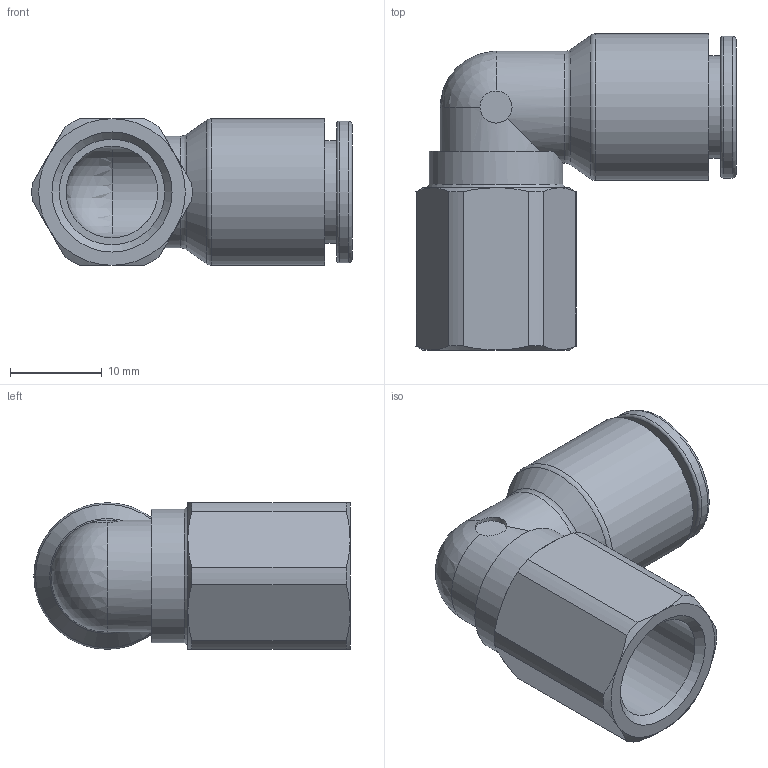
import cadquery as cq
import math


elbow_radius = 6.1
bore_radius = 5.0

shoulder_start = 7.84
shoulder_angle = math.radians(35)
shoulder_blend_radius = 1.0
body_radius = 8.0
shoulder_end = shoulder_start + (body_radius - elbow_radius) / math.tan(shoulder_angle)
body_end = 23.2
neck_radius = 5.6
flange_start = 24.5
flange_end = 26.2
flange_radius = 7.73
flange_inner_round = 0.3
flange_outer_round = 0.45

collar_radius = 7.3
collar_start = 4.8
collar_end = 8.4
collar_flare = 0.25
nut_start = 8.8
nut_end = 26.5
nut_across_flats = 16.0
nut_corner_radius = 8.75
nut_face_radius = nut_across_flats / 2
nut_bevel_angle = math.radians(30)
nut_bevel_length = (nut_corner_radius - nut_face_radius) * math.tan(nut_bevel_angle)

socket_radius = 5.75
socket_mouth_radius = 6.55
socket_mouth_depth = socket_mouth_radius - socket_radius
socket_depth = 15.0

recess_radius = 1.75
recess_depth = 0.6


def revolve_about_y(outline):
    """Turn a closed (radius, y) outline around the Y axis."""
    return cq.Workplane("XY").polyline(outline).close().revolve(360, (0, 0), (0, 1))


def make_elbow():
    ball = cq.Workplane("XY").sphere(elbow_radius)
    inlet = cq.Workplane("XZ").circle(elbow_radius).extrude(nut_start)
    return ball.union(inlet)


def make_tube_arm():
    """Arm, conical shoulder, body, neck and end flange in one turned profile."""
    blend_reach = shoulder_blend_radius * math.tan(shoulder_angle / 2)
    reach_along = blend_reach * math.cos(shoulder_angle)
    reach_out = blend_reach * math.sin(shoulder_angle)
    profile = (
        cq.Workplane("XY")
        .lineTo(0, elbow_radius)
        .lineTo(shoulder_start - blend_reach, elbow_radius)
        .tangentArcPoint((shoulder_start + reach_along, elbow_radius + reach_out), relative=False)
        .lineTo(shoulder_end - reach_along, body_radius - reach_out)
        .tangentArcPoint((shoulder_end + blend_reach, body_radius), relative=False)
        .lineTo(body_end, body_radius)
        .lineTo(body_end, neck_radius)
        .lineTo(flange_start, neck_radius)
        .lineTo(flange_start, flange_radius - flange_inner_round)
        .tangentArcPoint((flange_start + flange_inner_round, flange_radius), relative=False)
        .lineTo(flange_end - flange_outer_round, flange_radius)
        .tangentArcPoint((flange_end, flange_radius - flange_outer_round), relative=False)
        .lineTo(flange_end, 0)
        .close()
    )
    return profile.revolve(360, (0, 0), (1, 0))


def make_collar():
    """Round collar that flares slightly where it meets the nut."""
    return revolve_about_y([
        (0, -collar_start),
        (collar_radius, -collar_start),
        (collar_radius, -collar_end),
        (collar_radius + collar_flare, -nut_start),
        (0, -nut_start),
    ])


def make_nut():
    """Hexagon with its corners turned down and both ends bevelled."""
    across_corners = nut_across_flats / math.cos(math.pi / 6)
    hexagon = (
        cq.Workplane("XZ", origin=(0, -nut_start, 0))
        .polygon(6, across_corners)
        .extrude(nut_end - nut_start)
    )
    envelope = revolve_about_y([
        (0, -nut_start),
        (nut_face_radius, -nut_start),
        (nut_corner_radius, -nut_start - nut_bevel_length),
        (nut_corner_radius, -nut_end + nut_bevel_length),
        (nut_face_radius, -nut_end),
        (0, -nut_end),
    ])
    return hexagon.intersect(envelope)


def make_passage():
    """Bent bore with a round corner, open at both ends."""
    corner = cq.Workplane("XY").sphere(bore_radius)
    tube_bore = cq.Workplane("YZ").circle(bore_radius).extrude(flange_end)
    nut_bore = cq.Workplane("XZ").circle(bore_radius).extrude(nut_end)
    return corner.union(tube_bore).union(nut_bore)


def make_socket():
    """Wider socket with a conical mouth, sunk into the nut."""
    return revolve_about_y([
        (0, -nut_end),
        (socket_mouth_radius, -nut_end),
        (socket_radius, -nut_end + socket_mouth_depth),
        (socket_radius, -nut_end + socket_depth),
        (0, -nut_end + socket_depth),
    ])


def make_recess():
    floor = elbow_radius - recess_depth
    return cq.Workplane("XY", origin=(0, 0, floor)).circle(recess_radius).extrude(elbow_radius - floor)


outside = make_elbow().union(make_tube_arm()).union(make_collar()).union(make_nut())
result = outside.cut(make_passage()).cut(make_socket()).cut(make_recess())